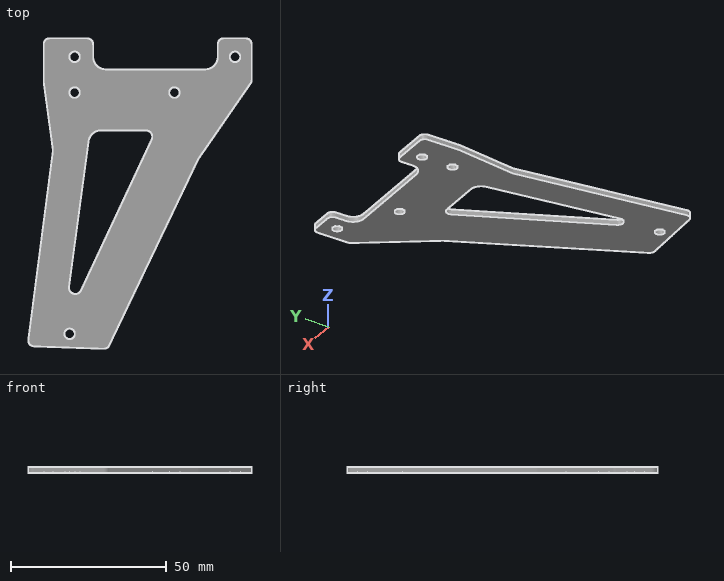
import cadquery as cq

thickness = 2.0
plate_right = 66.9
notch_left = 16.0
notch_right = 55.9
notch_depth = 10.0
shoulder_y = -14.0

waist = (3.0, -36.0)
right_bend = (49.7, -38.8)
foot_left = (-5.2, -98.9)
foot_right = (20.6, -99.8)

window_top = -29.6
window_top_left = (15.0, window_top)
window_top_right = (36.0, window_top)
window_tip = (6.5, -92.7)

corner_radius = 2.0
large_radius = 4.0

hole_diameter = 3.3
hole_column_x = 10.0
tab_hole_y = -6.0
inner_hole_y = -17.5
hole_centers = [
    (hole_column_x, tab_hole_y),
    (61.5, tab_hole_y),
    (hole_column_x, inner_hole_y),
    (42.0, inner_hole_y),
    (8.4, -94.9),
]


def rounded_prism(corners, large_corners):
    """Extrude a polygon, rounding large_corners with the large radius and all others with the small one."""
    prism = cq.Workplane("XY").polyline(corners).close().extrude(thickness)
    for corner in corners:
        radius = large_radius if corner in large_corners else corner_radius
        nearest = cq.selectors.NearestToPointSelector((*corner, thickness / 2))
        prism = prism.edges("|Z").edges(nearest).fillet(radius)
    return prism


notch_floor = [(notch_left, -notch_depth), (notch_right, -notch_depth)]
left_bends = [waist, (0, shoulder_y)]
outline = [
    (0, 0),
    (notch_left, 0),
    *notch_floor,
    (notch_right, 0),
    (plate_right, 0),
    (plate_right, shoulder_y),
    right_bend,
    foot_right,
    foot_left,
    *left_bends,
]

plate = rounded_prism(outline, notch_floor + left_bends)
window = rounded_prism([window_top_left, window_top_right, window_tip], [window_top_left])
holes = cq.Workplane("XY").pushPoints(hole_centers).circle(hole_diameter / 2).extrude(thickness)

result = plate.cut(window).cut(holes)